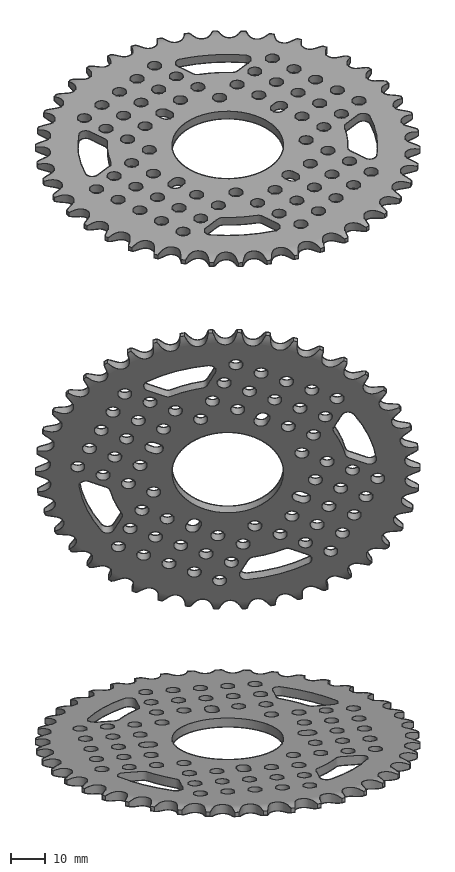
import cadquery as cq
import math

TOOTH_COUNT = 42
CHAIN_PITCH = 8.0
ROLLER_DIAMETER = 5.0
ROLLER_CLEARANCE = 0.0381
THICKNESS = 2.8
TIP_RADIUS = 55.2

BEVEL_START_RADIUS = 51.9
BEVEL_ARC_RADIUS = 8.0

BORE_DIAMETER = 32.0
HOLE_PITCH = 8.0
HOLE_DIAMETER = 4.0
SLOT_LENGTH = 5.4
WINDOW_SIDE = 20.0
WINDOW_INNER_RADIUS = 34.5
WINDOW_OUTER_RADIUS = 43.0
WINDOW_CORNER_RADIUS = 2.0

TOOTH_ANGLE = 2 * math.pi / TOOTH_COUNT
PITCH_RADIUS = CHAIN_PITCH / (2 * math.sin(TOOTH_ANGLE / 2))
QUARTER_TURNS = (0, 90, 180, 270)

SEAT_HALF_ANGLE = math.radians(55 - 60 / TOOTH_COUNT)
WORKING_ANGLE = math.radians(18 - 56 / TOOTH_COUNT)
TOPPING_ANGLE = math.radians(17 - 64 / TOOTH_COUNT)
FLANK_ANGLE = SEAT_HALF_ANGLE + WORKING_ANGLE
SEAT_RADIUS = 0.5025 * ROLLER_DIAMETER + ROLLER_CLEARANCE
WORKING_RADIUS = 1.3025 * ROLLER_DIAMETER + ROLLER_CLEARANCE
STRAIGHT_LENGTH = ROLLER_DIAMETER * (1.4 * math.sin(TOPPING_ANGLE) - 0.8 * math.sin(WORKING_ANGLE))
TOPPING_RADIUS = (
    ROLLER_DIAMETER * (0.8 * math.cos(WORKING_ANGLE) + 1.4 * math.cos(TOPPING_ANGLE) - 1.3025)
    - ROLLER_CLEARANCE
)


def bottom_plane():
    return cq.Workplane("XY").workplane(offset=-THICKNESS / 2)


def polar(radius, angle):
    return (radius * math.cos(angle), radius * math.sin(angle))


def arc_point(center, radius, angle):
    """Point on an arc, with the angle taken from the direction toward the part axis."""
    return (center[0] - radius * math.cos(angle), center[1] + radius * math.sin(angle))


def gap_side():
    """Points of one side of a tooth gap that is centred on +X, from its root to the tip."""
    seat_center = (PITCH_RADIUS, 0)
    root = arc_point(seat_center, SEAT_RADIUS, 0)
    seat_end = arc_point(seat_center, SEAT_RADIUS, SEAT_HALF_ANGLE)

    working_center = arc_point(seat_end, -WORKING_RADIUS, SEAT_HALF_ANGLE)
    working_middle = arc_point(working_center, WORKING_RADIUS, SEAT_HALF_ANGLE + WORKING_ANGLE / 2)
    working_end = arc_point(working_center, WORKING_RADIUS, FLANK_ANGLE)

    straight_end = (
        working_end[0] + STRAIGHT_LENGTH * math.sin(FLANK_ANGLE),
        working_end[1] + STRAIGHT_LENGTH * math.cos(FLANK_ANGLE),
    )

    topping_center = arc_point(straight_end, TOPPING_RADIUS, FLANK_ANGLE)
    center_distance = math.hypot(*topping_center)
    center_angle = math.atan2(topping_center[1], topping_center[0])

    def topping_point(radius):
        cosine = (center_distance**2 + radius**2 - TOPPING_RADIUS**2) / (2 * center_distance * radius)
        return polar(radius, center_angle - math.acos(cosine))

    topping_middle = topping_point((math.hypot(*straight_end) + TIP_RADIUS) / 2)
    tip = topping_point(TIP_RADIUS)
    return (
        root,
        seat_end,
        working_middle,
        working_end,
        straight_end,
        topping_middle,
        tip,
    )


def toothed_disc():
    """Flat disc whose rim repeats a tooth gap and a tooth tip."""
    side = gap_side()
    mirrored_side = [(x, -y) for x, y in side]

    def turned(points, angle):
        cosine = math.cos(angle)
        sine = math.sin(angle)
        return [(x * cosine - y * sine, x * sine + y * cosine) for x, y in points]

    first_gap = math.pi / 2 + TOOTH_ANGLE / 2
    rim = bottom_plane().moveTo(*turned(mirrored_side, first_gap)[-1])
    for index in range(TOOTH_COUNT):
        gap = first_gap + index * TOOTH_ANGLE
        next_tip = turned(mirrored_side, gap + TOOTH_ANGLE)[-1]
        _, seat_start, working_in, working_start, straight_start, topping_in, _ = turned(
            mirrored_side, gap
        )
        root, seat_end, working_out, working_end, straight_end, topping_out, tip = turned(side, gap)
        rim = (
            rim.threePointArc(topping_in, straight_start)
            .lineTo(*working_start)
            .threePointArc(working_in, seat_start)
            .threePointArc(root, seat_end)
            .threePointArc(working_out, working_end)
            .lineTo(*straight_end)
            .threePointArc(topping_out, tip)
            .threePointArc(polar(TIP_RADIUS, gap + TOOTH_ANGLE / 2), next_tip)
        )
    return rim.close().extrude(THICKNESS)


def bevel_envelope():
    """Solid of revolution with rounded edges that limits the tooth thickness."""
    def half_thickness(radius):
        run = radius - BEVEL_START_RADIUS
        return THICKNESS / 2 - BEVEL_ARC_RADIUS + math.sqrt(BEVEL_ARC_RADIUS**2 - run**2)

    outer_radius = TIP_RADIUS + 1.0
    middle_radius = (BEVEL_START_RADIUS + outer_radius) / 2
    section = (
        cq.Workplane("YZ")
        .moveTo(0, -THICKNESS / 2)
        .lineTo(BEVEL_START_RADIUS, -THICKNESS / 2)
        .threePointArc(
            (middle_radius, -half_thickness(middle_radius)),
            (outer_radius, -half_thickness(outer_radius)),
        )
        .lineTo(outer_radius, half_thickness(outer_radius))
        .threePointArc(
            (middle_radius, half_thickness(middle_radius)),
            (BEVEL_START_RADIUS, THICKNESS / 2),
        )
        .lineTo(0, THICKNESS / 2)
        .close()
    )
    return section.revolve(360, (0, 0, 0), (0, 1, 0))


def bore():
    return bottom_plane().circle(BORE_DIAMETER / 2).extrude(THICKNESS)


def round_holes():
    """One block of grid holes beside the bore, plus the hole on its diagonal."""
    outer_rows = [
        (column * HOLE_PITCH, row * HOLE_PITCH)
        for row in (3, 4, 5)
        for column in (-2, -1, 0, 1, 2)
        if (column, row) != (0, 3)
    ]
    diagonal_hole = (2 * HOLE_PITCH, 2 * HOLE_PITCH)
    quarter = bottom_plane().pushPoints(outer_rows + [diagonal_hole])
    return quarter.circle(HOLE_DIAMETER / 2).extrude(THICKNESS)


def elongated_hole():
    """Radial slot stretched toward the bore from its grid place."""
    outer_end = 3 * HOLE_PITCH + HOLE_DIAMETER / 2
    center = outer_end - SLOT_LENGTH / 2
    return bottom_plane().center(0, center).slot2D(SLOT_LENGTH, HOLE_DIAMETER, 90).extrude(THICKNESS)


def window():
    """Opening between two straight sides and two arcs about the part axis."""
    inner_reach = math.sqrt(WINDOW_INNER_RADIUS**2 - WINDOW_SIDE**2)
    outer_reach = math.sqrt(WINDOW_OUTER_RADIUS**2 - WINDOW_SIDE**2)
    diagonal = math.pi / 4
    opening = (
        bottom_plane()
        .moveTo(WINDOW_SIDE, inner_reach)
        .lineTo(WINDOW_SIDE, outer_reach)
        .threePointArc(polar(WINDOW_OUTER_RADIUS, diagonal), (outer_reach, WINDOW_SIDE))
        .lineTo(inner_reach, WINDOW_SIDE)
        .threePointArc(polar(WINDOW_INNER_RADIUS, diagonal), (WINDOW_SIDE, inner_reach))
        .close()
        .extrude(THICKNESS)
    )
    return opening.edges("|Z").fillet(WINDOW_CORNER_RADIUS)


plate = toothed_disc().intersect(bevel_envelope())
openings = bore()
for turn in QUARTER_TURNS:
    for cutter in (round_holes(), elongated_hole(), window()):
        openings = openings.add(cutter.rotate((0, 0, 0), (0, 0, 1), turn))
result = plate.cut(openings.combine())